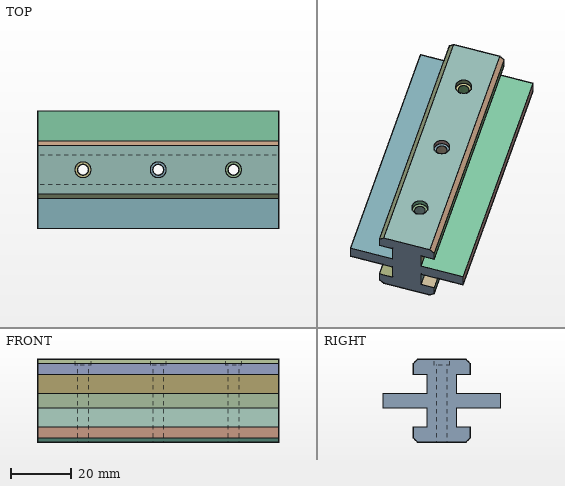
import cadquery as cq

length = 80.0
plate_width = 39.0
height = 27.6

plate_thickness = 5.0
web_width = 9.9
head_width = 19.0
head_thickness = 5.1
head_chamfer = 1.5

hole_count = 3
hole_pitch = 25.0
hole_diameter = 3.5
counterbore_diameter = 5.3
counterbore_depth = 2.0


def rail_head(side):
    """Bar along X with its two outer long edges chamfered; side is +1 (top) or -1 (bottom)."""
    outer_edges = "|X and >Z" if side > 0 else "|X and <Z"
    centre_height = side * (height - head_thickness) / 2
    return (
        cq.Workplane("XY")
        .box(length, head_width, head_thickness)
        .edges(outer_edges)
        .chamfer(head_chamfer)
        .translate((0, 0, centre_height))
    )


plate = cq.Workplane("XY").box(length, plate_width, plate_thickness)
web = cq.Workplane("XY").box(length, web_width, height - 2 * head_thickness)
body = plate.union(web)
for side in (1, -1):
    body = body.union(rail_head(side))

result = (
    body.faces(">Z")
    .workplane(origin=(0, 0, 0))
    .rarray(hole_pitch, 0.8, hole_count, 1)
    .cboreHole(hole_diameter, counterbore_diameter, counterbore_depth)
)